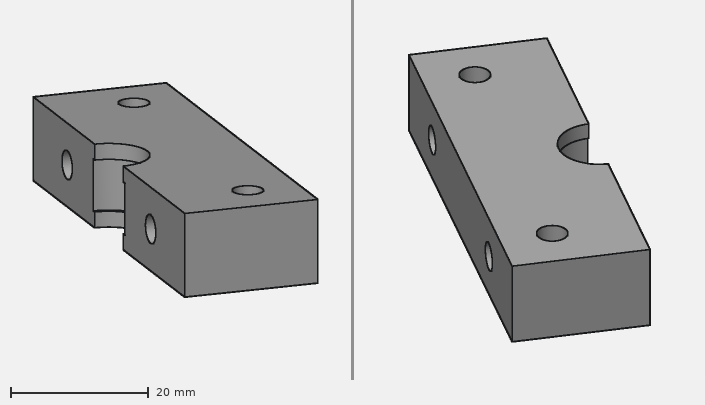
import cadquery as cq

length = 63.5
depth = 20.65
height = 12.7

seat_diameter = 11.95
groove_diameter = 13.2
lip_height = 2.4
groove_height = height - 2 * lip_height

vertical_hole_diameter = 4.6
vertical_hole_spacing = 47.6
vertical_hole_from_back = 7.95
cross_hole_diameter = 4.3
cross_hole_spacing = 34.9


def upright_cylinder(diameter, x, y, bottom, tall):
    return cq.Workplane("XY", origin=(x, y, bottom)).circle(diameter / 2).extrude(tall)


result = cq.Workplane("XY").box(length, depth, height, centered=(True, False, False))

result = result.cut(upright_cylinder(seat_diameter, 0, 0, 0, height))
result = result.cut(upright_cylinder(groove_diameter, 0, 0, lip_height, groove_height))

for side in (-1, 1):
    hole_x = side * vertical_hole_spacing / 2
    hole_y = depth - vertical_hole_from_back
    result = result.cut(upright_cylinder(vertical_hole_diameter, hole_x, hole_y, 0, height))

    cross_hole = (
        cq.Workplane("XZ", origin=(side * cross_hole_spacing / 2, 0, height / 2))
        .circle(cross_hole_diameter / 2)
        .extrude(-depth)
    )
    result = result.cut(cross_hole)